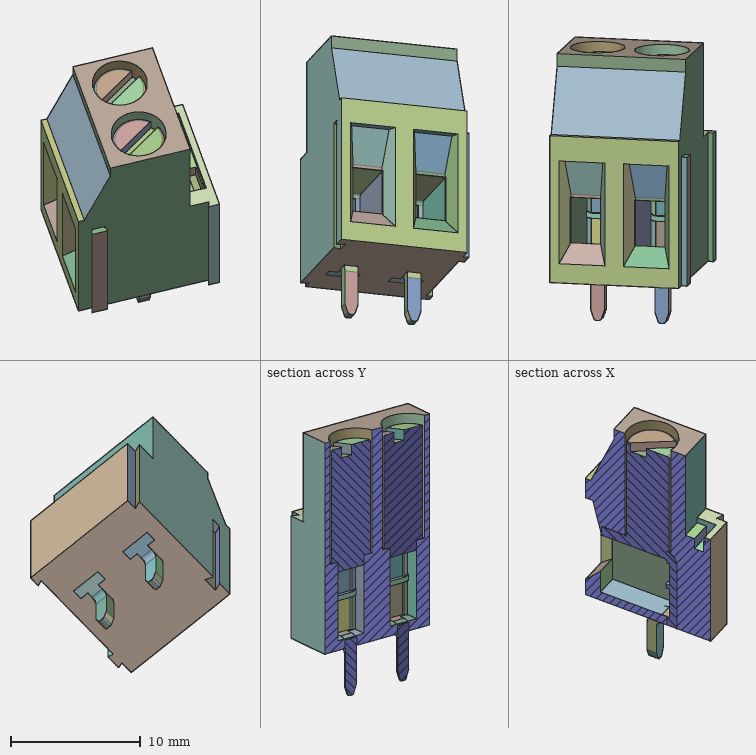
import cadquery as cq


pole_count = 2
pitch = 5.07
housing_width = pole_count * pitch
housing_depth = 11.2
housing_height = 17.5
tower_front = 2.55
tower_back = 8.97
tower_lip_bottom = 16.51
front_top = 11.57
ledge_depth = 0.47
shelf_top = 10.13

overall_width = 10.6
hook_reach = overall_width - housing_width
hook_tip = 10.3
hook_root = 10.47
notch_depth = 0.62
notch_mouth = 10.54
dovetail_centre = 1.6
dovetail_tip_width = 1.25
dovetail_root_width = 1.03
groove_mouth_width = 0.75
groove_floor_width = 1.18

recess_left = 1.33
recess_back = 10.66
recess_depth = 0.5
pocket_width = 2.5
pocket_front = 9.78
pocket_back = 10.55
pocket_depth = 0.99

entry_width = 3.61
entry_bottom = 1.53
entry_top = 9.6
funnel_depth = 1.38
throat_width = 2.35
throat_bottom = 2.92
throat_top = 6.73
hood_depth = 0.65

clamp_width = 2.5
clamp_setback = 0.1
clamp_front = funnel_depth + clamp_setback
strip_thickness = 0.85
clamp_ceiling = 6.5
clamp_top = clamp_ceiling + strip_thickness
clamp_back = 8.17
clamp_wall = clamp_back - strip_thickness
clamp_inner_radius = 0.3
panel_width = 1.8
panel_depth = 0.22
bar_proud = 0.1
bar_side_top = 4.24
bar_side_bottom = 3.72
bar_middle_top = 4.06
bar_middle_bottom = 3.65

pin_width = 1.08
overall_height = 21.5
pin_length = overall_height - housing_height
pin_front = 5.5
pin_bend_radius = 0.5
pin_taper_length = 0.82
pin_tip_width = 0.5
pin_tip_radius = 0.22
pin_shoulder_radius = 0.22

screw_y = 5.6
screw_radius = 2.0
screw_recess = 0.73
screw_top = housing_height - screw_recess
screw_edge_radius = 0.17
screw_hole_radius = 2.1
slot_width = 0.77
slot_depth = 0.85
slot_angle = -56

pole_centres = [pitch * (2 * index + 1) / 2 for index in range(pole_count)]


def box(x_range, y_range, z_range):
    """Block spanning the given (low, high) ranges."""
    ranges = (x_range, y_range, z_range)
    size = [high - low for low, high in ranges]
    corner = [low for low, high in ranges]
    return cq.Workplane("XY").box(*size, centered=False).translate(tuple(corner))


def centred_range(centre, width):
    return (centre - width / 2, centre + width / 2)


def extrude_along_x(profile, centre, width):
    """Extrude a closed YZ profile to a width centred on X = centre."""
    return profile.extrude(width / 2, both=True).translate((centre, 0, 0))


def upright_prism(points, height):
    """Prism standing on Z = 0 with the given XY outline."""
    return cq.Workplane("XY").polyline(points).close().extrude(height)


def make_housing_blank():
    side_outline = [
        (0, 0),
        (housing_depth, 0),
        (housing_depth, shelf_top),
        (tower_back, shelf_top),
        (tower_back, housing_height),
        (tower_front, housing_height),
        (tower_front, tower_lip_bottom),
        (ledge_depth, front_top),
        (0, front_top),
    ]
    return cq.Workplane("YZ").polyline(side_outline).close().extrude(housing_width)


def make_hook():
    return upright_prism([
        (housing_width, hook_root),
        (overall_width, hook_tip),
        (overall_width, housing_depth),
        (housing_width, housing_depth),
    ], shelf_top)


def make_hook_notch():
    return upright_prism([
        (0, notch_mouth),
        (notch_depth, hook_tip),
        (notch_depth, housing_depth),
        (0, housing_depth),
    ], shelf_top)


def make_dovetail(start_x, length, near_width, far_width):
    """Upright dovetail whose width changes along +X from near to far."""
    near_front, near_back = centred_range(dovetail_centre, near_width)
    far_front, far_back = centred_range(dovetail_centre, far_width)
    return upright_prism([
        (start_x, near_front),
        (start_x + length, far_front),
        (start_x + length, far_back),
        (start_x, near_back),
    ], shelf_top)


def make_shelf_recess():
    recess_right = housing_width - recess_left
    floor = shelf_top - recess_depth
    recess = box((recess_left, recess_right), (tower_back, recess_back), (floor, shelf_top))
    for left in (recess_left, recess_right - pocket_width):
        pocket = box(
            (left, left + pocket_width),
            (pocket_front, pocket_back),
            (floor - pocket_depth, floor),
        )
        recess = recess.union(pocket)
    return recess


def make_wire_entry(centre):
    """Funnel narrowing on all sides into the deeper cavity in front of the clamp wall."""
    side_outline = [
        (0, entry_bottom),
        (funnel_depth, throat_bottom),
        (funnel_depth, throat_top),
        (hood_depth, entry_top),
        (0, entry_top),
    ]
    side_prism = extrude_along_x(
        cq.Workplane("YZ").polyline(side_outline).close(), centre, entry_width
    )
    plan_prism = upright_prism([
        (centre - entry_width / 2, 0),
        (centre + entry_width / 2, 0),
        (centre + throat_width / 2, funnel_depth),
        (centre - throat_width / 2, funnel_depth),
    ], housing_height)
    cavity = box(
        centred_range(centre, clamp_width),
        (funnel_depth, clamp_wall + panel_depth),
        (strip_thickness, clamp_ceiling),
    )
    return side_prism.intersect(plan_prism).union(cavity)


def make_screw_hole(centre):
    depth = housing_height - clamp_top
    hole = cq.Workplane("XY").circle(screw_hole_radius).extrude(depth)
    return hole.translate((centre, screw_y, clamp_top))


def make_clamp(centre):
    """Top plate bent down into a rear wall that carries a panel and a cross bar."""
    outer_radius = clamp_inner_radius + strip_thickness
    profile = (
        cq.Workplane("YZ")
        .moveTo(clamp_front, clamp_ceiling)
        .lineTo(clamp_front, clamp_top)
        .lineTo(clamp_back - outer_radius, clamp_top)
        .radiusArc((clamp_back, clamp_top - outer_radius), outer_radius)
        .lineTo(clamp_back, 0)
        .lineTo(clamp_wall, 0)
        .lineTo(clamp_wall, clamp_ceiling - clamp_inner_radius)
        .radiusArc((clamp_wall - clamp_inner_radius, clamp_ceiling), -clamp_inner_radius)
        .close()
    )
    panel = box(
        centred_range(centre, panel_width),
        (clamp_wall, clamp_wall + panel_depth),
        (strip_thickness, clamp_ceiling - clamp_inner_radius),
    )
    clamp = extrude_along_x(profile, centre, clamp_width).cut(panel)
    return clamp.union(make_cross_bar(centre))


def make_cross_bar(centre):
    side = clamp_width / 2
    middle = panel_width / 2
    outline = [
        (-side, bar_side_bottom),
        (-middle, bar_middle_bottom),
        (middle, bar_middle_bottom),
        (side, bar_side_bottom),
        (side, bar_side_top),
        (middle, bar_middle_top),
        (-middle, bar_middle_top),
        (-side, bar_side_top),
    ]
    bar = cq.Workplane("XZ").polyline(outline).close().extrude(-(bar_proud + panel_depth))
    return bar.translate((centre, clamp_wall - bar_proud, 0))


def make_pin(centre):
    """Solder pin bent from a flat foot that runs back to the clamp wall."""
    pin_back = pin_front + strip_thickness
    bend_outer_radius = pin_bend_radius + strip_thickness
    bend_y = pin_back + pin_bend_radius
    profile = (
        cq.Workplane("YZ")
        .moveTo(pin_front, -pin_length)
        .lineTo(pin_front, -pin_bend_radius)
        .radiusArc((bend_y, strip_thickness), bend_outer_radius)
        .lineTo(clamp_wall, strip_thickness)
        .lineTo(clamp_wall, 0)
        .lineTo(bend_y, 0)
        .radiusArc((pin_back, -pin_bend_radius), -pin_bend_radius)
        .lineTo(pin_back, -pin_length)
        .close()
    )
    strip = extrude_along_x(profile, centre, pin_width)
    return strip.intersect(make_pin_outline(centre))


def make_pin_outline(centre):
    """Front outline of the pin, tapered and rounded at its tip."""
    side = pin_width / 2
    tip = pin_tip_width / 2
    outline = [
        (-tip, -pin_length),
        (tip, -pin_length),
        (side, pin_taper_length - pin_length),
        (side, strip_thickness),
        (-side, strip_thickness),
        (-side, pin_taper_length - pin_length),
    ]
    prism = cq.Workplane("XZ").polyline(outline).close().extrude(-housing_depth)
    rounded = prism.edges("|Y").edges("not (<Z or >Z)").fillet(pin_shoulder_radius)
    rounded = rounded.edges("|Y").edges("<Z").fillet(pin_tip_radius)
    return rounded.translate((centre, 0, 0))


def make_screw(centre):
    height = screw_top - clamp_top
    screw = cq.Workplane("XY").circle(screw_radius).extrude(height)
    screw = screw.faces(">Z").edges().fillet(screw_edge_radius)
    slot = (
        cq.Workplane("XY")
        .box(2 * screw_hole_radius, slot_width, slot_depth, centered=(True, True, False))
        .rotate((0, 0, 0), (0, 0, 1), slot_angle)
        .translate((0, 0, height - slot_depth))
    )
    return screw.cut(slot).translate((centre, screw_y, clamp_top))


def make_terminal(centre):
    """Clamp, solder pin and screw of one pole as a single solid."""
    return make_clamp(centre).union(make_pin(centre)).union(make_screw(centre))


def make_housing(terminals):
    housing = make_housing_blank()
    housing = housing.union(make_hook())
    housing = housing.union(
        make_dovetail(housing_width, hook_reach, dovetail_root_width, dovetail_tip_width)
    )
    housing = housing.cut(make_hook_notch())
    housing = housing.cut(make_dovetail(0, notch_depth, groove_mouth_width, groove_floor_width))
    housing = housing.cut(make_shelf_recess())
    for centre in pole_centres:
        housing = housing.cut(make_wire_entry(centre))
        housing = housing.cut(make_screw_hole(centre))
    for terminal in terminals:
        housing = housing.cut(terminal)
    return housing


terminals = [make_terminal(centre) for centre in pole_centres]
housing = make_housing(terminals)

result = cq.Compound.makeCompound([housing.val(), *[terminal.val() for terminal in terminals]])